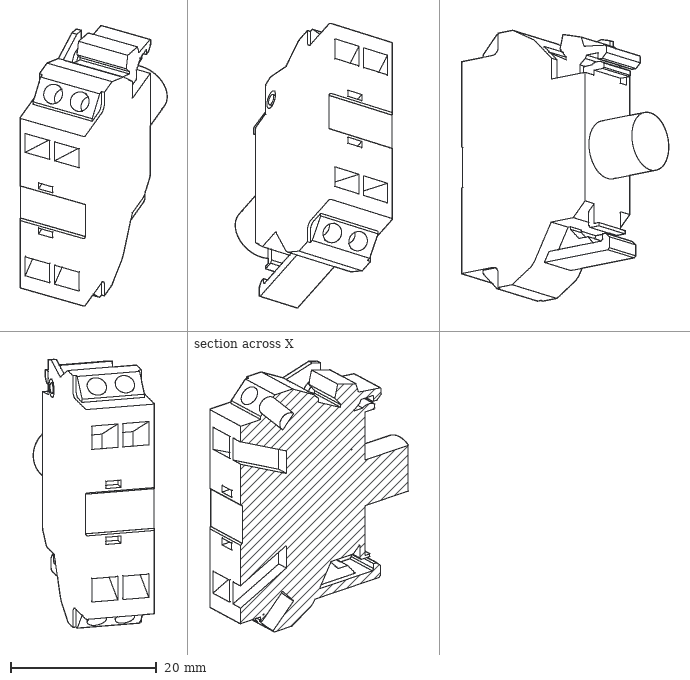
import cadquery as cq
import math

WIDTH = 9.8
HALF_WIDTH = WIDTH / 2
HALF_HEIGHT = 18.0
FRONT_HALF_HEIGHT = 15.0
OVERALL_FRONT_Y = -21.85
PANEL_THICKNESS = 0.27
FRONT_Y = OVERALL_FRONT_Y + PANEL_THICKNESS
FLANK_Y = -8.95
FLANK_Z = 16.0
STEP_Y = -2.92
STEP_TOP_Z = 16.76

STUD_DIAMETER = 8.1
STUD_LENGTH = 7.55

CHEEK_THICKNESS = 0.75
RECESS_FLOOR_Z = 10.0
RECESS_WALL_Y = -5.87
RECESS_WALL_TOP_Z = FLANK_Z - (RECESS_WALL_Y - FLANK_Y)

LATCH_HALF_WIDTH = 3.7
LATCH_BACK_Y = -8.16
LATCH_NECK_Y = -4.35
LATCH_HEEL_Y = -1.9
NOSE_Y = 2.81
NOSE_TOP_Z = 13.64
NOSE_RADIUS = 0.35
RAMP_SLOPE = 0.5
RAMP_NECK_Z = 12.73
RAMP_END_Z = RAMP_NECK_Z + RAMP_SLOPE * (LATCH_NECK_Y - LATCH_BACK_Y)
PIVOT_Y = -4.65
PIVOT_Z = 13.17
PIN_DIAMETER = 1.5
PIN_HOLE_DIAMETER = 2.5

HOOK_HALF_WIDTH = 2.9
RIB_HALF_WIDTH = 1.2
HOOK_FLOOR_Z = -13.68
HOOK_BASE_Z = -15.1
HOOK_ROOT_Y = -9.5

TERMINAL_SIDE_GAP = 0.45
TERMINAL_CORNER_Y = -15.87
TERMINAL_FRONT_Y = -18.35
TERMINAL_LIP_Z = FRONT_HALF_HEIGHT + 0.45
GAP_START_Y = -15.3
GAP_RADIUS = 1.0
TERMINAL_PITCH = 4.0
SCREW_HOLE_DIAMETER = 2.7
SCREW_HOLE_DEPTH = 5.0

PANEL_INNER_Z = 2.83
PANEL_EDGE = 0.24
OPENING_WIDTH = 3.69
OPENING_INNER_X = 0.37
OPENING_LOW_Z = 9.24
OPENING_HIGH_Z = 12.58
OPENING_DEPTH = 8.0
OPENING_ANGLE = 25.0
SLOT_CENTER_X = -1.0
SLOT_WIDTH = 2.15
SLOT_LOW_Z = 3.48
SLOT_HIGH_Z = 4.51
SLOT_DEPTH = 1.5


def prism(points, x_min, x_max):
    """Extrude a closed (Y, Z) outline from x_min to x_max."""
    outline = cq.Workplane("YZ").workplane(offset=x_min).polyline(points).close()
    return outline.extrude(x_max - x_min)


def x_cylinder(y, z, diameter, x_min, x_max):
    """Cylinder along X centred on (y, z)."""
    circle = cq.Workplane("YZ").workplane(offset=x_min).center(y, z).circle(diameter / 2)
    return circle.extrude(x_max - x_min)


def box_between(x_range, y_range, z_range):
    """Axis-aligned box given by its limits."""
    size = [high - low for low, high in (x_range, y_range, z_range)]
    corner = (x_range[0], y_range[0], z_range[0])
    return cq.Workplane("XY").box(*size, centered=False).translate(corner)


def with_mirror(shape):
    """The shape together with its mirror image below Z = 0."""
    return shape.union(shape.mirror("XY"))


def make_housing():
    """Full-width housing, including the blanks of the terminal blocks."""
    outline = [
        (0, 11.36),
        (STEP_Y, 11.8),
        (STEP_Y, STEP_TOP_Z),
        (-4.43, 17.17),
        (FLANK_Y, FLANK_Z),
        (-12.75, HALF_HEIGHT),
        (TERMINAL_CORNER_Y, HALF_HEIGHT),
        (TERMINAL_FRONT_Y, TERMINAL_LIP_Z),
        (TERMINAL_FRONT_Y, FRONT_HALF_HEIGHT),
        (FRONT_Y, FRONT_HALF_HEIGHT),
        (FRONT_Y, -FRONT_HALF_HEIGHT),
        (TERMINAL_FRONT_Y, -FRONT_HALF_HEIGHT),
        (TERMINAL_FRONT_Y, -TERMINAL_LIP_Z),
        (TERMINAL_CORNER_Y, -HALF_HEIGHT),
        (-12.84, -HALF_HEIGHT),
        (-9.5, -16.0),
        (-8.95, -15.4),
        (-5.96, -10.23),
        (-2.08, -10.23),
        (0, -8.19),
    ]
    return prism(outline, -HALF_WIDTH, HALF_WIDTH)


def make_latch_recess():
    """Space around the latch, open to the rear, the top and +X."""
    clear_y = 1.0
    clear_z = HALF_HEIGHT + 1.0
    outline = [
        (clear_y, RECESS_FLOOR_Z),
        (RECESS_WALL_Y, RECESS_FLOOR_Z),
        (RECESS_WALL_Y, RECESS_WALL_TOP_Z),
        (FLANK_Y, FLANK_Z),
        (FLANK_Y, clear_z),
        (clear_y, clear_z),
    ]
    recess = prism(outline, -HALF_WIDTH + CHEEK_THICKNESS, HALF_WIDTH)
    ramp_pocket = box_between(
        (-LATCH_HALF_WIDTH, LATCH_HALF_WIDTH), (LATCH_BACK_Y, clear_y), (RECESS_FLOOR_Z, clear_z)
    )
    return recess.union(ramp_pocket)


def make_latch():
    """Pivoting latch with a hooked nose at the rear and a ramp at its front end."""
    outline = [
        (NOSE_Y, 12.6),
        (NOSE_Y, NOSE_TOP_Z),
        (-1.15, 14.12),
        (-1.64, 15.5),
        (-4.87, 16.4),
        (-5.38, 14.4),
        (LATCH_NECK_Y, 13.14),
        (LATCH_NECK_Y, RAMP_NECK_Z),
        (LATCH_BACK_Y, RAMP_END_Z),
        (LATCH_BACK_Y, RECESS_FLOOR_Z),
        (LATCH_HEEL_Y, RECESS_FLOOR_Z),
        (LATCH_HEEL_Y, 11.6),
        (-0.95, 12.35),
        (-0.7, 12.8),
        (1.35, 12.8),
        (1.35, 11.9),
        (2.06, 11.9),
    ]
    latch = prism(outline, -LATCH_HALF_WIDTH, LATCH_HALF_WIDTH)
    nose_edge = cq.selectors.NearestToPointSelector((0, NOSE_Y, NOSE_TOP_Z))
    latch = latch.edges(nose_edge).fillet(NOSE_RADIUS)
    pin = x_cylinder(PIVOT_Y, PIVOT_Z, PIN_DIAMETER, -HALF_WIDTH, -LATCH_HALF_WIDTH)
    return latch.union(pin)


def make_latch_stop():
    """Rounded nose under the latch, carried by a block on the recess floor."""
    nose_bottom_z = 10.7
    stop = (
        cq.Workplane("YZ")
        .workplane(offset=-HOOK_HALF_WIDTH)
        .moveTo(0, RECESS_FLOOR_Z)
        .lineTo(0, nose_bottom_z)
        .lineTo(1.5, nose_bottom_z)
        .lineTo(1.68, 10.85)
        .lineTo(1.68, 11.45)
        .threePointArc((0.6, 11.83), (-0.5, 11.5))
        .lineTo(LATCH_HEEL_Y, 11.5)
        .lineTo(LATCH_HEEL_Y, RECESS_FLOOR_Z)
        .close()
    )
    return stop.extrude(2 * HOOK_HALF_WIDTH)


def make_lower_hooks():
    """Short hook at the rear face, and the long bottom hook with its rib."""
    short_hook = [
        (0, -8.0),
        (0, -10.98),
        (0.8, -10.98),
        (0.8, -11.45),
        (-0.7, -11.45),
        (-1.0, -11.1),
        (-1.0, -8.0),
    ]
    long_hook = [
        (1.18, HOOK_FLOOR_Z),
        (1.43, HOOK_FLOOR_Z + 0.25),
        (1.43, -12.68),
        (2.0, -12.68),
        (2.66, -13.3),
        (2.66, -14.85),
        (2.4, HOOK_BASE_Z),
        (HOOK_ROOT_Y, HOOK_BASE_Z),
        (HOOK_ROOT_Y, HOOK_FLOOR_Z),
    ]
    rib = [
        (-1.1, HOOK_FLOOR_Z),
        (-2.45, -12.12),
        (-4.05, -12.12),
        (-5.55, -10.6),
        (-5.55, -10.0),
        (HOOK_ROOT_Y, -10.0),
        (HOOK_ROOT_Y, HOOK_FLOOR_Z),
    ]
    hooks = prism(short_hook, -HOOK_HALF_WIDTH, HOOK_HALF_WIDTH)
    hooks = hooks.union(prism(long_hook, -HOOK_HALF_WIDTH, HOOK_HALF_WIDTH))
    return hooks.union(prism(rib, -RIB_HALF_WIDTH, RIB_HALF_WIDTH))


def make_terminal_gap(x_min):
    """Upper cut that sets a terminal block back from one side of the housing."""
    diagonal = GAP_RADIUS * (1 - math.sqrt(0.5))
    outline = (
        cq.Workplane("YZ")
        .workplane(offset=x_min)
        .moveTo(GAP_START_Y, HALF_HEIGHT)
        .lineTo(GAP_START_Y, FRONT_HALF_HEIGHT + GAP_RADIUS)
        .threePointArc(
            (GAP_START_Y - diagonal, FRONT_HALF_HEIGHT + diagonal),
            (GAP_START_Y - GAP_RADIUS, FRONT_HALF_HEIGHT),
        )
        .lineTo(FRONT_Y, FRONT_HALF_HEIGHT)
        .lineTo(FRONT_Y, HALF_HEIGHT)
        .close()
    )
    return outline.extrude(TERMINAL_SIDE_GAP)


def make_screw_hole(x):
    """Upper blind hole, square to the sloping terminal face."""
    slope_y = TERMINAL_FRONT_Y - TERMINAL_CORNER_Y
    slope_z = TERMINAL_LIP_Z - HALF_HEIGHT
    middle = cq.Vector(x, TERMINAL_CORNER_Y + slope_y / 2, HALF_HEIGHT + slope_z / 2)
    inward = cq.Vector(0, -slope_z, slope_y).normalized()
    hole = cq.Solid.makeCylinder(SCREW_HOLE_DIAMETER / 2, SCREW_HOLE_DEPTH, middle, inward)
    return cq.Workplane(hole)


def make_panel():
    """Upper raised front panel, rounded along its sides and bevelled along its inner edge."""
    outline = [
        (FRONT_Y, FRONT_HALF_HEIGHT),
        (OVERALL_FRONT_Y, FRONT_HALF_HEIGHT),
        (OVERALL_FRONT_Y, PANEL_INNER_Z + PANEL_EDGE),
        (OVERALL_FRONT_Y + PANEL_EDGE, PANEL_INNER_Z),
        (FRONT_Y, PANEL_INNER_Z),
    ]
    panel = prism(outline, -HALF_WIDTH, HALF_WIDTH)
    return panel.faces("<Y").edges("|Z").fillet(PANEL_EDGE)


def make_wire_opening(x_min):
    """Upper wire opening, a square channel that runs down towards the mid-height."""
    drop = OPENING_DEPTH * math.tan(math.radians(OPENING_ANGLE))
    back_y = OVERALL_FRONT_Y + OPENING_DEPTH
    outline = [
        (OVERALL_FRONT_Y, OPENING_LOW_Z),
        (OVERALL_FRONT_Y, OPENING_HIGH_Z),
        (back_y, OPENING_HIGH_Z - drop),
        (back_y, OPENING_LOW_Z - drop),
    ]
    return prism(outline, x_min, x_min + OPENING_WIDTH)


def make_test_slot():
    """Upper shallow rectangular slot near the inner edge of the panel."""
    return box_between(
        (SLOT_CENTER_X - SLOT_WIDTH / 2, SLOT_CENTER_X + SLOT_WIDTH / 2),
        (OVERALL_FRONT_Y, OVERALL_FRONT_Y + SLOT_DEPTH),
        (SLOT_LOW_Z, SLOT_HIGH_Z),
    )


result = make_housing().cut(make_latch_recess())
result = result.cut(
    x_cylinder(PIVOT_Y, PIVOT_Z, PIN_HOLE_DIAMETER, -HALF_WIDTH, -HALF_WIDTH + CHEEK_THICKNESS)
)
result = result.union(make_latch()).union(make_latch_stop()).union(make_lower_hooks())
result = result.union(cq.Workplane("XZ").circle(STUD_DIAMETER / 2).extrude(-STUD_LENGTH))

for gap_x in (-HALF_WIDTH, HALF_WIDTH - TERMINAL_SIDE_GAP):
    result = result.cut(with_mirror(make_terminal_gap(gap_x)))
for hole_x in (-TERMINAL_PITCH / 2, TERMINAL_PITCH / 2):
    result = result.cut(with_mirror(make_screw_hole(hole_x)))

result = result.union(with_mirror(make_panel()))
for opening_x in (-OPENING_INNER_X - OPENING_WIDTH, OPENING_INNER_X):
    result = result.cut(with_mirror(make_wire_opening(opening_x)))
result = result.cut(with_mirror(make_test_slot()))